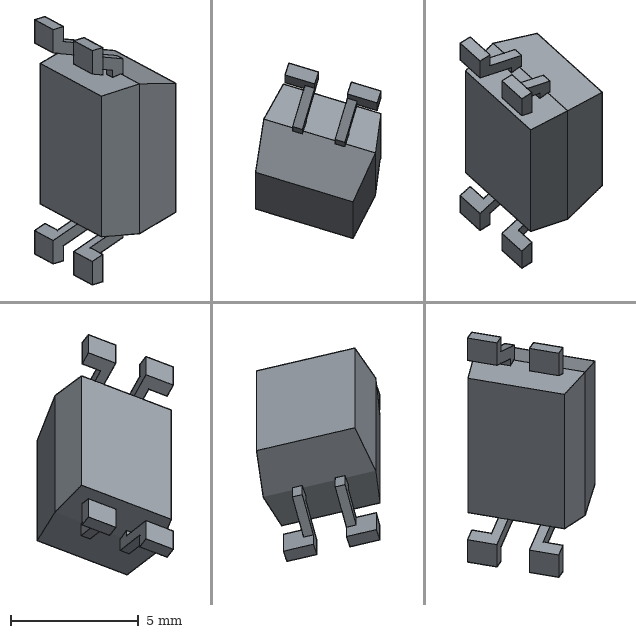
import cadquery as cq

WAIST_WIDTH = 4.58
WAIST_HALF_HEIGHT = 3.2
FACE_WIDTH = 4.0
FRONT_Y = -1.64
FRONT_HALF_HEIGHT = 3.0
BACK_Y = 2.0
BACK_TOP_Z = 2.6
BACK_BOTTOM_Z = -2.9

LEAD_THICKNESS = 0.51
LEAD_INNER_X = 0.67
STEM_WIDTH = 0.4
FOOT_WIDTH = 1.22
LEAD_TIP_Z = 5.0
FOOT_FRONT_Y = -2.0
FOOT_FRONT_LENGTH = 1.0
LEAD_SLOPE = 0.34
SLOPE_DEPTH = 0.53
STEM_BACK_Y = 0.11
STEM_ROOT_Z = 2.8


def body_half(face_y, face_bottom_z, face_top_z):
    """Loft from the waist rectangle to an outer face parallel to it."""
    face_height = face_top_z - face_bottom_z
    face_center_z = (face_top_z + face_bottom_z) / 2
    return (
        cq.Workplane("XZ")
        .rect(WAIST_WIDTH, 2 * WAIST_HALF_HEIGHT)
        .workplane(offset=-face_y)
        .center(0, face_center_z)
        .rect(FACE_WIDTH, face_height)
        .loft(ruled=True)
    )


def lower_slope_z(y):
    """Height of the lower sloped surface of an upper lead."""
    return LEAD_TIP_Z - FOOT_FRONT_LENGTH - LEAD_SLOPE * (y - FOOT_FRONT_Y)


def upper_slope_z(y):
    """Height of the upper sloped surface of an upper lead."""
    return lower_slope_z(y) + SLOPE_DEPTH


def extrude_profile(points, width):
    """Extrude a (Y, Z) outline outward from the inboard side of the lead."""
    return cq.Workplane("YZ", origin=(LEAD_INNER_X, 0, 0)).polyline(points).close().extrude(width)


def upper_lead():
    """Lead at +X, +Z: narrow bent stem ending in a wide vertical foot."""
    foot_back_y = FOOT_FRONT_Y + LEAD_THICKNESS
    stem_front_y = STEM_BACK_Y - LEAD_THICKNESS
    stem = extrude_profile(
        [
            (STEM_BACK_Y, STEM_ROOT_Z),
            (STEM_BACK_Y, upper_slope_z(STEM_BACK_Y)),
            (foot_back_y, upper_slope_z(foot_back_y)),
            (foot_back_y, lower_slope_z(foot_back_y)),
            (stem_front_y, lower_slope_z(stem_front_y)),
            (stem_front_y, STEM_ROOT_Z),
        ],
        STEM_WIDTH,
    )
    foot = extrude_profile(
        [
            (FOOT_FRONT_Y, lower_slope_z(FOOT_FRONT_Y)),
            (FOOT_FRONT_Y, LEAD_TIP_Z),
            (foot_back_y, LEAD_TIP_Z),
            (foot_back_y, lower_slope_z(foot_back_y)),
        ],
        FOOT_WIDTH,
    )
    return stem.union(foot)


def all_leads():
    upper_right = upper_lead()
    upper_pair = upper_right.union(upper_right.mirror("YZ"))
    return upper_pair.union(upper_pair.mirror("XY"))


front_half = body_half(FRONT_Y, -FRONT_HALF_HEIGHT, FRONT_HALF_HEIGHT)
back_half = body_half(BACK_Y, BACK_BOTTOM_Z, BACK_TOP_Z)
result = front_half.union(back_half).union(all_leads())